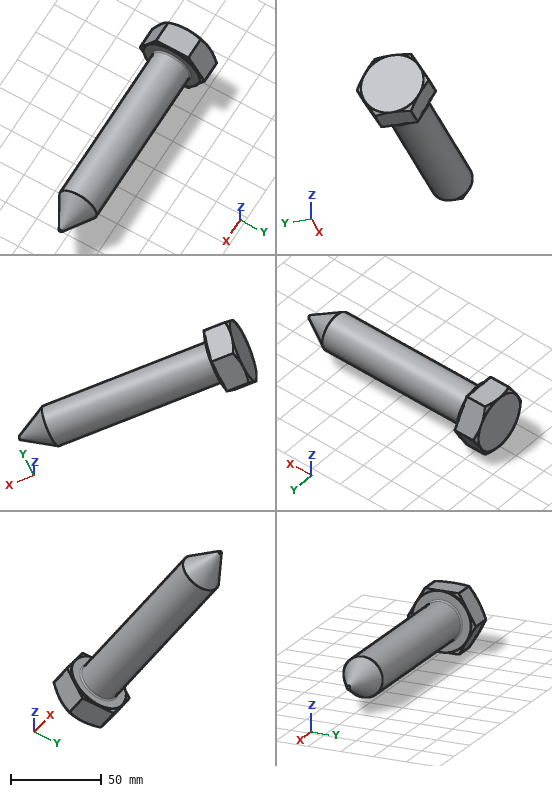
import cadquery as cq
import math

total_length = 135.9
across_flats = 36.0
across_corners = across_flats / math.cos(math.radians(30))
head_height = 14.8
crown_angle = 30.0

washer_thickness = 0.8
shank_diameter = 24.0
fillet_radius = 0.8

tip_diameter = 2.2
point_half_angle = 30.0


def make_head():
    """Hexagonal head with corners along Y and a conically chamfered end face."""
    hexagon = cq.Workplane("YZ").polygon(6, across_corners).extrude(head_height)
    face_radius = across_flats / 2
    crown_radius = face_radius + head_height / math.tan(math.radians(crown_angle))
    crown = (
        cq.Workplane("XY")
        .moveTo(0, 0)
        .lineTo(0, face_radius)
        .lineTo(head_height, crown_radius)
        .lineTo(head_height, 0)
        .close()
        .revolve(360, (0, 0, 0), (1, 0, 0))
    )
    return hexagon.intersect(crown)


def make_shank():
    """Washer face, filleted shank and truncated conical point as one turned body."""
    washer_radius = across_flats / 2
    shank_radius = shank_diameter / 2
    tip_radius = tip_diameter / 2
    seat = head_height + washer_thickness
    point_length = (shank_radius - tip_radius) / math.tan(math.radians(point_half_angle))
    fillet_offset = fillet_radius * (1 - math.sqrt(0.5))
    return (
        cq.Workplane("XY")
        .moveTo(head_height, 0)
        .lineTo(head_height, washer_radius)
        .lineTo(seat, washer_radius)
        .lineTo(seat, shank_radius + fillet_radius)
        .threePointArc(
            (seat + fillet_offset, shank_radius + fillet_offset),
            (seat + fillet_radius, shank_radius),
        )
        .lineTo(total_length - point_length, shank_radius)
        .lineTo(total_length, tip_radius)
        .lineTo(total_length, 0)
        .close()
        .revolve(360, (0, 0, 0), (1, 0, 0))
    )


result = make_head().union(make_shank())